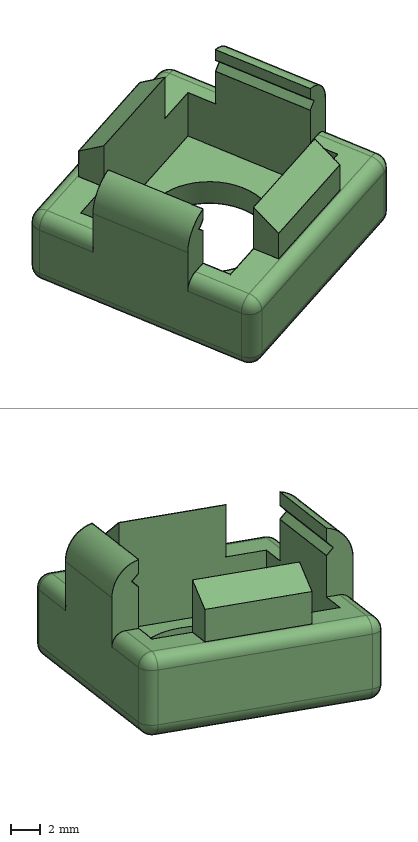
import cadquery as cq
import math

base_side = 18.0
base_height = 6.0
edge_radius = 1.0

floor_thickness = 2.0
cavity_length_x = 11.85
wall_thickness_y = 2.0
cavity_length_y = base_side - 2 * wall_thickness_y
hole_diameter = 9.0

clip_width = 7.5
clip_top = 11.0
clip_radius = 2.5
notch_center_z = 9.5
notch_half_height = 0.5
notch_depth = 0.5

tab_width = 8.0
tab_thickness = 2.0
tab_inner_top = 9.8
tab_outer_top = 8.35


def make_base():
    """Block with all edges rounded."""
    block = cq.Workplane("XY").box(base_side, base_side, base_height, centered=(True, True, False))
    return block.edges().fillet(edge_radius)


def make_clip():
    """Clip on the +Y side, extruded along X from its YZ profile."""
    outer_y = base_side / 2
    inner_y = cavity_length_y / 2
    arc_center_y = outer_y - clip_radius
    top_angle = math.acos((inner_y - arc_center_y) / clip_radius)
    arc_center_z = clip_top - clip_radius * math.sin(top_angle)
    arc_middle = (
        arc_center_y + clip_radius * math.cos(top_angle / 2),
        arc_center_z + clip_radius * math.sin(top_angle / 2),
    )
    return (
        cq.Workplane("YZ")
        .moveTo(inner_y, floor_thickness)
        .lineTo(outer_y, floor_thickness)
        .lineTo(outer_y, arc_center_z)
        .threePointArc(arc_middle, (inner_y, clip_top))
        .lineTo(inner_y, notch_center_z + notch_half_height)
        .lineTo(inner_y + notch_depth, notch_center_z)
        .lineTo(inner_y, notch_center_z - notch_half_height)
        .close()
        .extrude(clip_width / 2, both=True)
    )


def make_tab():
    """Tab on the +X side, extruded along Y from its XZ profile."""
    inner_x = cavity_length_x / 2
    outer_x = inner_x + tab_thickness
    return (
        cq.Workplane("XZ")
        .moveTo(inner_x, floor_thickness)
        .lineTo(outer_x, floor_thickness)
        .lineTo(outer_x, tab_outer_top)
        .lineTo(inner_x, tab_inner_top)
        .close()
        .extrude(tab_width / 2, both=True)
    )


cavity = (
    cq.Workplane("XY")
    .workplane(offset=floor_thickness)
    .rect(cavity_length_x, cavity_length_y)
    .extrude(base_height)
)
hole = cq.Workplane("XY").circle(hole_diameter / 2).extrude(base_height)

result = make_base().cut(cavity).cut(hole)
for side_angle in (0, 180):
    for feature in (make_clip(), make_tab()):
        result = result.union(feature.rotate((0, 0, 0), (0, 0, 1), side_angle))